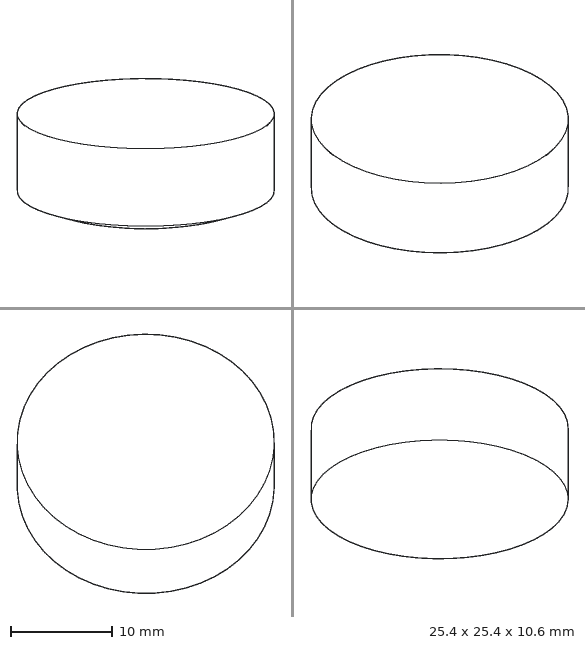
import cadquery as cq

diameter = 25.4
overall_height = 10.62
bottom_sag = 2.67
top_sag = 6.58

radius = diameter / 2
edge_height = overall_height - bottom_sag


def sphere_radius(sag):
    """Radius of the sphere whose cap has this sag across the lens."""
    return (radius**2 + sag**2) / (2 * sag)


def arc_midpoint(sag, rim_z):
    """Point halfway along the half-profile arc from the axis to the rim, sagging downward."""
    sphere = sphere_radius(sag)
    centre = cq.Vector(0, rim_z - sag + sphere)
    toward_middle = cq.Vector(radius / 2, rim_z - sag / 2) - centre
    middle = centre + toward_middle.normalized() * sphere
    return (middle.x, middle.y)


profile = (
    cq.Workplane("XZ")
    .moveTo(0, -bottom_sag)
    .threePointArc(arc_midpoint(bottom_sag, 0), (radius, 0))
    .lineTo(radius, edge_height)
    .threePointArc(arc_midpoint(top_sag, edge_height), (0, edge_height - top_sag))
    .close()
)

result = profile.revolve(360, (0, 0, 0), (0, 1, 0))